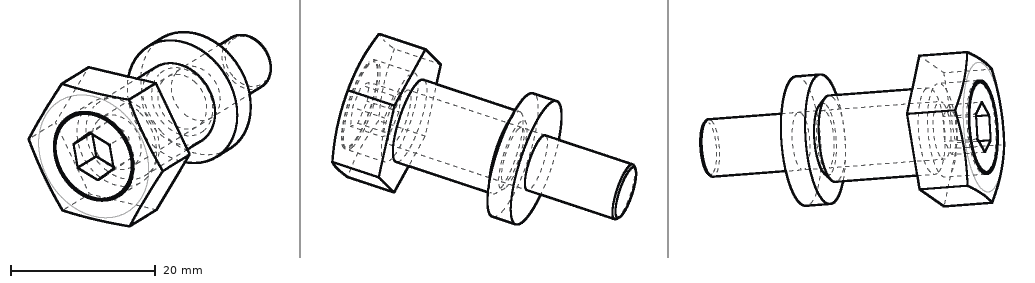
import cadquery as cq
import math

TOTAL_LENGTH = 40.0

HEX_SIDES = 6

HEX_ACROSS_FLATS = 19.0
HEX_TURN = 0.35
HEX_HEIGHT = 7.5
HEX_FACE_DIAMETER = 18.0
HEX_CHAMFER_ANGLE = 15.0
HEX_TRIM_MARGIN = 0.4
SLEEVE_DIAMETER = 12.0
BUSHING_LENGTH = 23.0
SLEEVE_CHAMFER = 1.0

SCREW_HEAD_DIAMETER = 13.0
SCREW_HEAD_HEIGHT = 6.0
SCREW_HEAD_CHAMFER = 0.3
SHANK_DIAMETER = 8.0
SHANK_TIP_CHAMFER = 0.3
SOCKET_ACROSS_FLATS = 6.0
SOCKET_TURN = 41.4
SOCKET_DEPTH = 4.8

WASHER_DIAMETER = 18.0
WASHER_THICKNESS = 3.5


def cylinder(diameter, start, end):
    """Cylinder on the Y axis between two Y positions."""
    return cq.Workplane("XZ", origin=(0, start, 0)).circle(diameter / 2).extrude(start - end)


def hex_corner_diameter(across_flats):
    return across_flats / math.cos(math.pi / HEX_SIDES)


def hex_prism(across_flats, length, turn):
    """Hexagonal prism from Y = 0, turned about the Y axis."""
    return (
        cq.Workplane("XZ")
        .transformed(rotate=(0, 0, turn))
        .polygon(HEX_SIDES, hex_corner_diameter(across_flats))
        .extrude(-length)
    )


def hex_head():
    """Hex prism whose front corners are trimmed by a shallow cone."""
    face_radius = HEX_FACE_DIAMETER / 2
    outer_radius = hex_corner_diameter(HEX_ACROSS_FLATS) / 2 + HEX_TRIM_MARGIN
    cone_depth = (outer_radius - face_radius) * math.tan(math.radians(HEX_CHAMFER_ANGLE))
    envelope = (
        cq.Workplane("XY")
        .lineTo(face_radius, 0)
        .lineTo(outer_radius, cone_depth)
        .lineTo(outer_radius, HEX_HEIGHT)
        .lineTo(0, HEX_HEIGHT)
        .close()
        .revolve(360, (0, 0, 0), (0, 1, 0))
    )
    return hex_prism(HEX_ACROSS_FLATS, HEX_HEIGHT, HEX_TURN).intersect(envelope)


def make_bushing():
    """Hex head and sleeve, bored for the shank and counterbored for the screw head."""
    sleeve = cylinder(SLEEVE_DIAMETER, 0, BUSHING_LENGTH).faces(">Y").chamfer(SLEEVE_CHAMFER)
    bore = cylinder(SHANK_DIAMETER, 0, BUSHING_LENGTH)
    counterbore = cylinder(SCREW_HEAD_DIAMETER, 0, SCREW_HEAD_HEIGHT)
    return hex_head().union(sleeve).cut(bore).cut(counterbore)


def make_screw():
    """Screw with its head flush with the hex face and a hexagonal socket."""
    head = cylinder(SCREW_HEAD_DIAMETER, 0, SCREW_HEAD_HEIGHT).faces("<Y").chamfer(SCREW_HEAD_CHAMFER)
    shank = cylinder(SHANK_DIAMETER, SCREW_HEAD_HEIGHT, TOTAL_LENGTH).faces(">Y").chamfer(SHANK_TIP_CHAMFER)
    socket = hex_prism(SOCKET_ACROSS_FLATS, SOCKET_DEPTH, SOCKET_TURN)
    return head.union(shank).cut(socket)


def make_washer():
    """Flat ring around the shank, against the end of the bushing."""
    washer_end = BUSHING_LENGTH + WASHER_THICKNESS
    hole = cylinder(SHANK_DIAMETER, BUSHING_LENGTH, washer_end)
    return cylinder(WASHER_DIAMETER, BUSHING_LENGTH, washer_end).cut(hole)


bushing = make_bushing()
screw = make_screw()
washer = make_washer()

result = cq.Compound.makeCompound([bushing.val(), screw.val(), washer.val()])